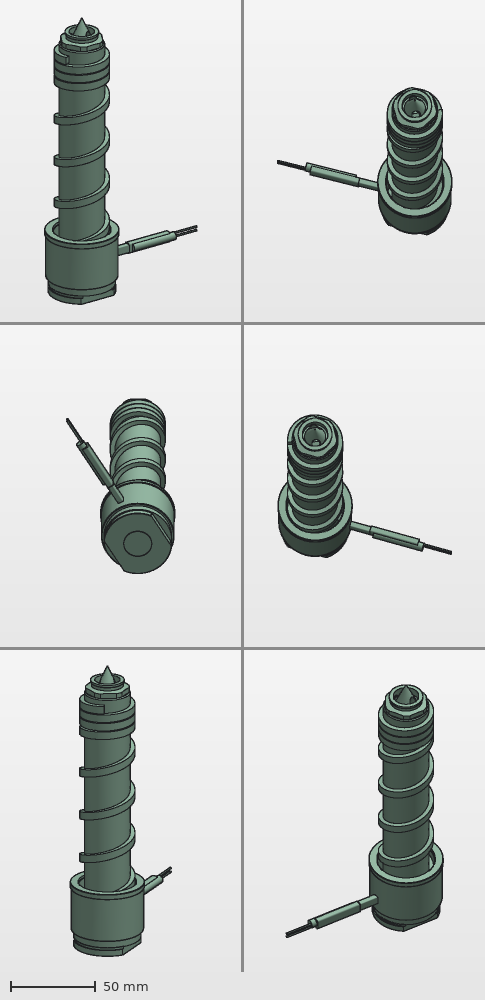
import cadquery as cq
import math

total_height = 176.3

boss_height = 0.5
boss_radius = 8.3
foot_top = 4.3
foot_radius = 20.1
foot_chamfer = 0.3
relief_top = 5.9
relief_radius = 19.3
foot_flat_half_width = 16.2
skirt_top = 10.4
skirt_radius = 20.0
housing_top = 37.0
housing_radius = 21.5
flange_top = 40.3
flange_radius = 22.0
housing_chamfer = 0.4
flange_chamfer = 0.3
well_mouth_radius = 17.3
well_mouth_depth = 1.5
well_radius = 16.8

shaft_radius = 13.55
shaft_top = 160.5
shaft_chamfer = 0.7
collar_radius = 13.0
collar_edge = 163.4
collar_top = 164.3
collar_across_flats = 24.2
neck_radius = 9.5
neck_top = 166.2
rim_radius = 10.0
rim_taper_height = 0.4
rim_top = 167.9

bore_radius = 7.5
bore_floor = 163.2
tip_radius = 0.25
cone_slope = 0.46
flow_hole_radius = 2.6
flow_hole_reach = 4.6
flow_hole_tilt = 20.0
flow_hole_depth = 10.0
flow_hole_azimuths = (25.0, 205.0)

strip_outer_radius = 16.35
strip_embed = 0.6
strip_height = 4.7
tight_pitch = 5.37
loose_pitch = 27.0
strip_top_angle = 290.4
strip_top_center = 154.6
tight_sweep = 3 * 360.0 + 12.0
transition_sweep = 118.0
transition_steps = 2
loose_sweep = 4 * 360.0 - 30.0

cable_x = -1.1
cable_z = 19.3
cable_width = 3.6
cable_height = 5.2
cable_fillet = 0.6
cable_end = 34.0
sleeve_x = -1.35
sleeve_width = 4.0
sleeve_height = 6.4
sleeve_fillet = 1.0
sleeve_start = 33.7
sleeve_end = 63.2
tube_x = 0.05
tube_radius = 2.5
tube_start = 36.2
tube_end = 66.5
wire_x = -1.25
wire_radius = 0.55
wire_spacing = 2.3
wire_end = 83.5


def base():
    """Housing with its stepped foot, revolved, with an open well at the top."""
    solid = (
        cq.Workplane("XZ")
        .moveTo(0, 0)
        .lineTo(boss_radius, 0)
        .lineTo(boss_radius, boss_height)
        .lineTo(foot_radius - foot_chamfer, boss_height)
        .lineTo(foot_radius, boss_height + foot_chamfer)
        .lineTo(foot_radius, foot_top)
        .lineTo(relief_radius, foot_top)
        .lineTo(relief_radius, relief_top)
        .lineTo(skirt_radius, relief_top)
        .lineTo(skirt_radius, skirt_top)
        .lineTo(housing_radius - housing_chamfer, skirt_top)
        .lineTo(housing_radius, skirt_top + housing_chamfer)
        .lineTo(housing_radius, housing_top)
        .lineTo(flange_radius - flange_chamfer, housing_top)
        .lineTo(flange_radius, housing_top + flange_chamfer)
        .lineTo(flange_radius, flange_top - flange_chamfer)
        .lineTo(flange_radius - flange_chamfer, flange_top)
        .lineTo(well_mouth_radius, flange_top)
        .lineTo(well_mouth_radius, flange_top - well_mouth_depth)
        .lineTo(well_radius, flange_top - well_mouth_depth)
        .lineTo(well_radius, skirt_top)
        .lineTo(0, skirt_top)
        .close()
        .revolve(360, (0, 0, 0), (0, 1, 0))
    )
    flat_depth = foot_radius - foot_flat_half_width
    for side in (-1, 1):
        flat = cq.Workplane("XY").box(flat_depth, 2 * foot_radius, relief_top, centered=(True, True, False))
        solid = solid.cut(flat.translate((side * (foot_flat_half_width + flat_depth / 2), 0, 0)))
    return solid


def shaft():
    """Heated shaft, chamfered at its top edge."""
    return (
        cq.Workplane("XY", origin=(0, 0, skirt_top))
        .circle(shaft_radius)
        .extrude(shaft_top - skirt_top)
        .faces(">Z")
        .chamfer(shaft_chamfer)
    )


def collar_with_bore():
    """Hexagonal collar with a sloping top, opened by the tip bore."""
    collar = (
        cq.Workplane("XZ")
        .moveTo(0, shaft_top)
        .lineTo(collar_radius, shaft_top)
        .lineTo(collar_radius, collar_edge)
        .lineTo(neck_radius, collar_top)
        .lineTo(0, collar_top)
        .close()
        .revolve(360, (0, 0, 0), (0, 1, 0))
    )
    across_corners = collar_across_flats / math.cos(math.pi / 6)
    hexagon = (
        cq.Workplane("XY", origin=(0, 0, shaft_top))
        .transformed(rotate=(0, 0, 30))
        .polygon(6, across_corners)
        .extrude(collar_top - shaft_top)
    )
    collar = collar.intersect(hexagon)
    return collar.cut(cq.Workplane("XY", origin=(0, 0, bore_floor)).circle(bore_radius).extrude(collar_top))


def rim_ring():
    """Grooved ring that surrounds the tip bore, on top of the collar."""
    return (
        cq.Workplane("XZ")
        .moveTo(bore_radius, collar_top)
        .lineTo(neck_radius, collar_top)
        .lineTo(neck_radius, neck_top)
        .lineTo(rim_radius, neck_top + rim_taper_height)
        .lineTo(rim_radius, rim_top)
        .lineTo(bore_radius, rim_top)
        .close()
        .revolve(360, (0, 0, 0), (0, 1, 0))
    )


def torpedo():
    """Cone rising from the floor of the tip bore to the point."""
    height = total_height - bore_floor
    foot = tip_radius + cone_slope * height
    return cq.Workplane(cq.Solid.makeCone(foot, tip_radius, height, cq.Vector(0, 0, bore_floor)))


def flow_hole(azimuth):
    """Tilted feed hole that breaks out on the cone's flank."""
    return (
        cq.Workplane("XY")
        .circle(flow_hole_radius)
        .extrude(2 * flow_hole_depth)
        .translate((0, 0, -flow_hole_depth))
        .rotate((0, 0, 0), (0, 1, 0), flow_hole_tilt)
        .translate((flow_hole_reach, 0, bore_floor))
        .rotate((0, 0, 0), (0, 0, 1), azimuth)
    )


def strip_segment(pitch, sweep, top_angle, top_center):
    """One constant-pitch stretch of the strip, wound down from its top end."""
    drop = pitch * sweep / 360.0
    path = cq.Wire.makeHelix(pitch, drop, strip_outer_radius)
    inner_radius = shaft_radius - strip_embed
    strip_depth = strip_outer_radius - inner_radius
    profile = cq.Workplane("XZ").center(inner_radius + strip_depth / 2, 0).rect(strip_depth, strip_height)
    segment = profile.sweep(path, isFrenet=True)
    return segment.rotate((0, 0, 0), (0, 0, 1), top_angle - sweep).translate((0, 0, top_center - drop))


def heater_strip():
    """Tight turns at the nozzle, a graded transition, then loose turns down to the well."""
    runs = [(tight_pitch, tight_sweep)]
    for step in range(transition_steps):
        share = (step + 0.5) / transition_steps
        pitch = tight_pitch + share * (loose_pitch - tight_pitch)
        runs.append((pitch, transition_sweep / transition_steps))
    runs.append((loose_pitch, loose_sweep))

    angle = strip_top_angle
    center = strip_top_center
    segments = []
    for pitch, sweep in runs:
        segments.append(strip_segment(pitch, sweep, angle, center))
        angle -= sweep
        center -= pitch * sweep / 360.0
    return segments


def rounded_bar(x, width, height, fillet, start, end):
    """Bar along Y with rounded long edges."""
    return (
        cq.Workplane("XY")
        .box(width, end - start, height)
        .edges("|Y")
        .fillet(fillet)
        .translate((x, (start + end) / 2, cable_z))
    )


def round_bar(x, z, radius, start, end):
    """Cylinder along Y."""
    return cq.Workplane(cq.Solid.makeCylinder(radius, end - start, cq.Vector(x, start, z), cq.Vector(0, 1, 0)))


def cable():
    """Flat cable, its two sleeves and the pair of bare wires."""
    cable_start = (well_radius + housing_radius) / 2
    solid = rounded_bar(cable_x, cable_width, cable_height, cable_fillet, cable_start, cable_end)
    solid = solid.union(rounded_bar(sleeve_x, sleeve_width, sleeve_height, sleeve_fillet, sleeve_start, sleeve_end))
    solid = solid.union(round_bar(tube_x, cable_z, tube_radius, tube_start, tube_end))
    for side in (-1, 1):
        wire_z = cable_z + side * wire_spacing / 2
        solid = solid.union(round_bar(wire_x, wire_z, wire_radius, sleeve_end, wire_end))
    return solid


body = base().union(shaft()).union(collar_with_bore()).union(torpedo())
for azimuth in flow_hole_azimuths:
    body = body.cut(flow_hole(azimuth))
body = body.union(rim_ring())
for segment in heater_strip():
    body = body.union(segment)
result = body.union(cable())